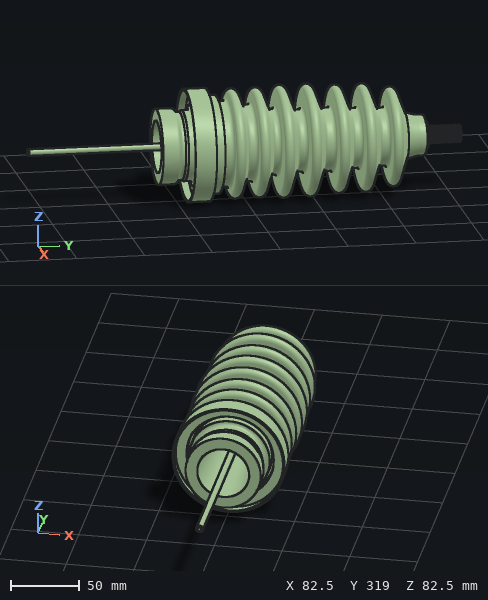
import cadquery as cq
import math

LENGTH = 319.0
MAX_DIAMETER = 82.5

STUD_R = 6.5
STUD_END = 24.5
STUD_CHAMFER = 1.0
THREAD_PITCH = 2.5
THREAD_DEPTH = 1.3
THREAD_COUNT = 9

WASHER_R = 9.5
WASHER_END = 26.5
CAP_R = 15.0
CAP_ROUND = 1.5
CAP_CYLINDER_END = 32.0
CAP_BASE_R = 17.2

SHEDS = [
    (54.5, 36.5, 21.0),
    (75.0, 39.5, 21.7),
    (94.8, 39.5, 23.0),
    (115.8, 41.0, 22.5),
    (135.5, 41.0, 24.0),
    (153.5, 40.2, 27.8),
    (171.3, 40.2, 31.3),
]
SHED_ANGLE = math.radians(21.0)
RIM_ROUND = 3.8
NECK_ROUND = 3.0

COLLAR_R = 36.0
COLLAR_START = 179.3
COLLAR_ROUND = 1.0
FLANGE_R = MAX_DIAMETER / 2
FLANGE_START = 186.5
FLANGE_END = 202.3
CUP_R = 40.2
CUP_DEPTH = 6.5
GAP_OUTER_R = 32.2
GAP_INNER_R = 29.7
GAP_DEPTH = 12.8

SHOULDER_END = 198.0
ROOT_R = 26.0
ROOT_END = 204.5
ROOT_ROUND = 2.5
WAIST_R = 25.0
WAIST_START = 206.5
WAIST_END = 208.7
WAIST_ROUND = 1.0
SLEEVE_R = 27.8
SLEEVE_START = 211.5
SLEEVE_ROUND = 2.5
SLEEVE_END = 223.7

BORE_R = 19.0
BORE_END_R = 7.5
BORE_END = 63.8
HUB_R = 4.8
HUB_LENGTH = 3.2
HUB_CHAMFER = 1.0
ROD_R = 2.5
ROD_CHAMFER = 1.0


def corner_points(before, corner, after, radius):
    """Start, middle and end of the arc of the given radius that rounds a corner."""
    ux, uy = before[0] - corner[0], before[1] - corner[1]
    vx, vy = after[0] - corner[0], after[1] - corner[1]
    u_length, v_length = math.hypot(ux, uy), math.hypot(vx, vy)
    ux, uy, vx, vy = ux / u_length, uy / u_length, vx / v_length, vy / v_length
    half_angle = math.acos(ux * vx + uy * vy) / 2
    setback = radius / math.tan(half_angle)
    bisector_x, bisector_y = ux + vx, uy + vy
    bisector_length = math.hypot(bisector_x, bisector_y)
    reach = (radius / math.sin(half_angle) - radius) / bisector_length
    start = (corner[0] + ux * setback, corner[1] + uy * setback)
    middle = (corner[0] + bisector_x * reach, corner[1] + bisector_y * reach)
    end = (corner[0] + vx * setback, corner[1] + vy * setback)
    return start, middle, end


def turned(outline):
    """Revolve a closed outline of (radius, station, corner rounding) about the Y axis."""
    points = [(radius, LENGTH / 2 - station) for radius, station, _ in outline]
    sketch = cq.Workplane("XY").moveTo(*points[0])
    for i in range(1, len(points)):
        rounding = outline[i][2]
        if rounding:
            after = points[(i + 1) % len(points)]
            start, middle, end = corner_points(points[i - 1], points[i], after, rounding)
            sketch = sketch.lineTo(*start).threePointArc(middle, end)
        else:
            sketch = sketch.lineTo(*points[i])
    return sketch.close().revolve(360, (0, 0, 0), (0, 1, 0))


def stud_outline():
    """Stud from its chamfered tip, with one V groove per thread turn."""
    outline = [(0, 0, 0), (STUD_R - STUD_CHAMFER, 0, 0), (STUD_R, STUD_CHAMFER, 0)]
    for turn in range(THREAD_COUNT):
        groove_start = STUD_CHAMFER + turn * THREAD_PITCH
        outline.append((STUD_R - THREAD_DEPTH, groove_start + THREAD_PITCH / 2, 0))
        outline.append((STUD_R, groove_start + THREAD_PITCH, 0))
    outline.append((STUD_R, STUD_END, 0))
    return outline


def cap_outline():
    """Washer, then the cap up to where its taper begins."""
    return [
        (WASHER_R, STUD_END, 0),
        (WASHER_R, WASHER_END, 0),
        (CAP_R, WASHER_END, CAP_ROUND),
        (CAP_R, CAP_CYLINDER_END, 0),
    ]


def sheds_outline():
    """Each shed rises on a cone, turns over a round rim and drops down a flat face."""
    outline = []
    root_r, root_round = CAP_BASE_R, 0
    for face, tip_r, neck_r in SHEDS:
        apex_r = tip_r - RIM_ROUND + RIM_ROUND / math.tan(SHED_ANGLE / 2)
        root = face - (apex_r - root_r) * math.tan(SHED_ANGLE)
        outline.append((root_r, root, root_round))
        outline.append((apex_r, face, RIM_ROUND))
        outline.append((neck_r, face, NECK_ROUND))
        root_r, root_round = neck_r, NECK_ROUND
    outline.append((root_r, COLLAR_START, 0))
    return outline


def flange_outline():
    """Collar, then the flange with its cup and the deeper ring gap around the sleeve."""
    cup_floor = FLANGE_END - CUP_DEPTH
    gap_floor = FLANGE_END - GAP_DEPTH
    return [
        (COLLAR_R, COLLAR_START, COLLAR_ROUND),
        (COLLAR_R, FLANGE_START, 0),
        (FLANGE_R, FLANGE_START, 0),
        (FLANGE_R, FLANGE_END, 0),
        (CUP_R, FLANGE_END, 0),
        (CUP_R, cup_floor, 0),
        (GAP_OUTER_R, cup_floor, 0),
        (GAP_OUTER_R, gap_floor, 0),
        (GAP_INNER_R, gap_floor, 0),
    ]


def sleeve_outline():
    """From the shoulder in along the root and waist, then out to the end of the sleeve."""
    return [
        (GAP_INNER_R, SHOULDER_END, 0),
        (ROOT_R, SHOULDER_END, ROOT_ROUND),
        (ROOT_R, ROOT_END, 0),
        (WAIST_R, WAIST_START, 0),
        (WAIST_R, WAIST_END, WAIST_ROUND),
        (SLEEVE_R, SLEEVE_START, SLEEVE_ROUND),
        (SLEEVE_R, SLEEVE_END, 0),
    ]


def bore_and_rod_outline():
    """Down the tapered bore to the hub, then out along the rod to its tip."""
    hub_end = BORE_END + HUB_LENGTH
    return [
        (BORE_R, SLEEVE_END, 0),
        (BORE_END_R, BORE_END, 0),
        (HUB_R, BORE_END, 0),
        (HUB_R, hub_end - HUB_CHAMFER, 0),
        (HUB_R - HUB_CHAMFER, hub_end, 0),
        (ROD_R, hub_end, 0),
        (ROD_R, LENGTH - ROD_CHAMFER, 0),
        (ROD_R - ROD_CHAMFER, LENGTH, 0),
        (0, LENGTH, 0),
    ]


result = turned(
    stud_outline()
    + cap_outline()
    + sheds_outline()
    + flange_outline()
    + sleeve_outline()
    + bore_and_rod_outline()
)